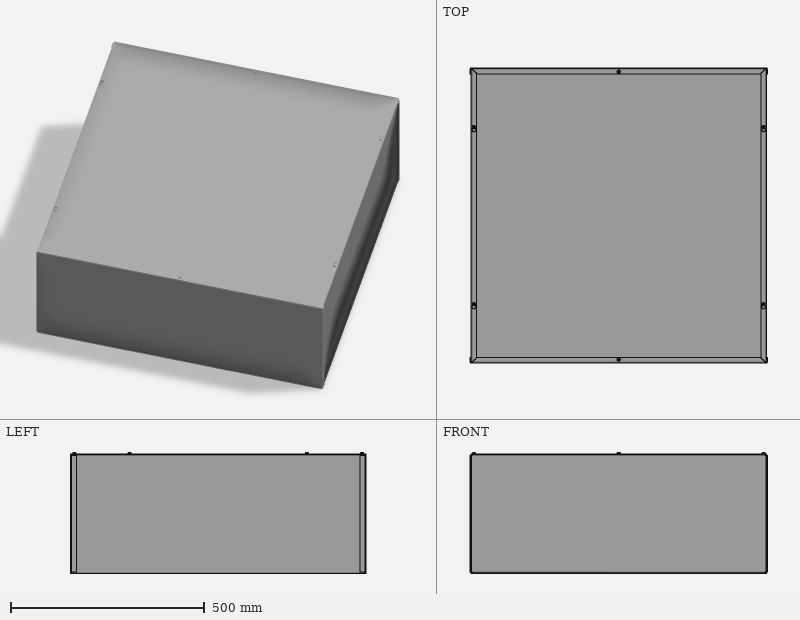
import cadquery as cq
BOX_SIDE = 762.0
TOTAL_LENGTH = 766.76
TOTAL_HEIGHT = 312.9

SHEET = 1.59
BEND_INNER = SHEET / 2
BEND_OUTER = BEND_INNER + SHEET
FLANGE = 15.0
RELIEF = 2.0
HALF_SIDE = BOX_SIDE / 2
HALF_LENGTH = TOTAL_LENGTH / 2
WRAPPER_HALF_LENGTH = HALF_LENGTH - SHEET

SHANK_DIAMETER = 4.34
SHANK_LENGTH = 12.0
HEAD_DIAMETER = 7.92
HEAD_HEIGHT = 3.34
HEAD_ROUNDING = 2.5
SIDE_SCREW_X = 373.9
SIDE_SCREW_Y = 228.6
MIDDLE_SCREW_Y = 371.5
SIDE_SCREWS = [(sx * SIDE_SCREW_X, sy * SIDE_SCREW_Y) for sx in (-1, 1) for sy in (-1, 1)]
MIDDLE_SCREWS = [(0, sy * MIDDLE_SCREW_Y) for sy in (-1, 1)]
ALL_SCREWS = SIDE_SCREWS + MIDDLE_SCREWS

SLOT_WIDTH = 4.83
KEY_DIAMETER = 9.5
KEY_OFFSET = 7.5

LID_TOP = TOTAL_HEIGHT - HEAD_HEIGHT
BOX_TOP = LID_TOP - SHEET
PANEL_BOTTOM = SHEET
WALL_BOTTOM = PANEL_BOTTOM + BEND_OUTER
WALL_TOP = BOX_TOP - BEND_OUTER


def level(z):
    """Horizontal workplane at height z."""
    return cq.Workplane("XY").workplane(offset=z)


def box_between(x0, x1, y0, y1, z0, z1):
    """Axis-aligned block given by its limits."""
    return cq.Workplane("XY").box(x1 - x0, y1 - y0, z1 - z0, centered=False).translate((x0, y0, z0))


def sheet_shell(half_x, half_y, z0, z1, bend_edges):
    """Block hollowed to one sheet thickness, bent round along the given edges."""
    outer = box_between(-half_x, half_x, -half_y, half_y, z0, z1).edges(bend_edges).fillet(BEND_OUTER)
    inner_x = half_x if bend_edges == "|X" else half_x - SHEET
    inner_y = half_y if bend_edges == "|Y" else half_y - SHEET
    inner_z = 0 if bend_edges == "|Z" else SHEET
    inner = box_between(-inner_x, inner_x, -inner_y, inner_y, z0 + inner_z, z1 - inner_z)
    return outer.cut(inner.edges(bend_edges).fillet(BEND_INNER))


def screw_holes():
    """Holes that the screw shanks fill in the top flanges."""
    centres = level(WALL_TOP).pushPoints(ALL_SCREWS)
    return centres.circle(SHANK_DIAMETER / 2).extrude(TOTAL_HEIGHT - WALL_TOP)


def mitred_top_of_x_ends():
    """Two triangular prisms at flange height: the share of the top that the wrapper's flanges take."""
    prisms = (
        level(WALL_TOP)
        .polyline([(0, 0), (TOTAL_LENGTH, TOTAL_LENGTH), (TOTAL_LENGTH, -TOTAL_LENGTH)]).close()
        .extrude(TOTAL_HEIGHT)
    )
    return prisms.union(prisms.mirror("YZ"))


def make_wrapper():
    """Bottom sheet and both X walls in one, with top flanges bent inward."""
    wrapper = sheet_shell(WRAPPER_HALF_LENGTH, HALF_SIDE, 0, BOX_TOP, "|Y")
    opening = WRAPPER_HALF_LENGTH - FLANGE
    wrapper = wrapper.cut(box_between(-opening, opening, -HALF_SIDE, HALF_SIDE, WALL_TOP, TOTAL_HEIGHT))
    wall_half_width = HALF_SIDE - BEND_OUTER
    for sy in (-1, 1):
        y0, y1 = sorted((sy * wall_half_width, sy * BOX_SIDE))
        wrapper = wrapper.cut(box_between(-HALF_LENGTH, HALF_LENGTH, y0, y1, BEND_OUTER, WALL_TOP))
    above = box_between(-HALF_LENGTH, HALF_LENGTH, -HALF_SIDE, HALF_SIDE, WALL_TOP, TOTAL_HEIGHT)
    return wrapper.cut(above.cut(mitred_top_of_x_ends())).cut(screw_holes())


def make_panel(side):
    """Front (-1) or back (1) wall with a flange along each of its four edges."""
    lying_half_length = WRAPPER_HALF_LENGTH - BEND_OUTER - RELIEF
    lying = sheet_shell(HALF_SIDE, HALF_SIDE, PANEL_BOTTOM, BOX_TOP, "|X").cut(mitred_top_of_x_ends())
    for sx in (-1, 1):
        x0, x1 = sorted((sx * lying_half_length, sx * TOTAL_LENGTH))
        lying = lying.cut(box_between(x0, x1, -BOX_SIDE, BOX_SIDE, 0, WALL_BOTTOM))
    standing = sheet_shell(HALF_LENGTH, HALF_SIDE, WALL_BOTTOM, WALL_TOP, "|Z")
    y0, y1 = sorted((side * (HALF_SIDE - FLANGE), side * HALF_SIDE))
    strip = box_between(-HALF_LENGTH, HALF_LENGTH, y0, y1, 0, TOTAL_HEIGHT)
    return lying.union(standing).intersect(strip).cut(screw_holes())


def make_lid():
    """Flat square lid with a keyhole for each side screw and a round hole for each middle screw."""
    lid = level(BOX_TOP).rect(BOX_SIDE, BOX_SIDE).extrude(SHEET)
    key_points = [(x, y - KEY_OFFSET) for x, y in SIDE_SCREWS]
    slot_points = [(x, y - KEY_OFFSET / 2) for x, y in SIDE_SCREWS]
    lid = lid.cut(level(BOX_TOP).pushPoints(ALL_SCREWS).circle(SLOT_WIDTH / 2).extrude(SHEET))
    lid = lid.cut(level(BOX_TOP).pushPoints(slot_points).rect(SLOT_WIDTH, KEY_OFFSET).extrude(SHEET))
    return lid.cut(level(BOX_TOP).pushPoints(key_points).circle(KEY_DIAMETER / 2).extrude(SHEET))


def make_screw(x, y):
    """Round-headed screw resting on the lid."""
    head = level(LID_TOP).center(x, y).circle(HEAD_DIAMETER / 2).extrude(HEAD_HEIGHT)
    head = head.faces(">Z").edges().fillet(HEAD_ROUNDING)
    shank = level(LID_TOP).center(x, y).circle(SHANK_DIAMETER / 2).extrude(-SHANK_LENGTH)
    return head.union(shank)


wrapper = make_wrapper()
panels = [make_panel(side) for side in (-1, 1)]
lid = make_lid()
screws = [make_screw(x, y) for x, y in ALL_SCREWS]

result = cq.Compound.makeCompound([
    wrapper.val(),
    *[panel.val() for panel in panels],
    lid.val(),
    *[screw.val() for screw in screws],
])